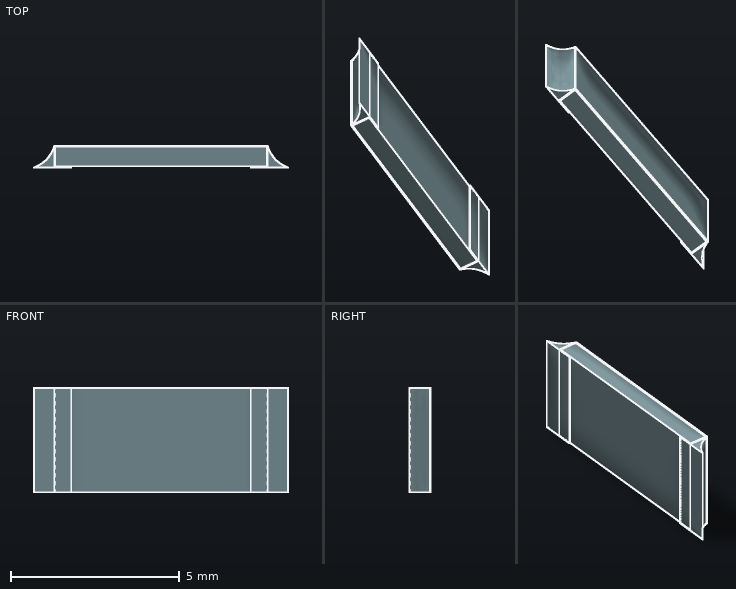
import cadquery as cq

overall_length = 7.55
overall_thickness = 0.65
width = 3.1

fillet_reach = 0.605
pad_length = 0.5
pad_thickness = 0.034
end_wall = 0.03
coating_thickness = 0.04

fillet_mid_reach = 0.165
fillet_mid_height = 0.31

chip_half = overall_length / 2 - fillet_reach
substrate_half = chip_half - end_wall
mount_y = -overall_thickness / 2
top_y = overall_thickness / 2
substrate_bottom_y = mount_y + pad_thickness
substrate_top_y = top_y - coating_thickness


def extrude_width(outline):
    """Extrude a closed XY outline over the width, centred on Z = 0."""
    return outline.extrude(width).translate((0, 0, -width / 2))


def slab(half_length, bottom_y, slab_top_y):
    """Rectangular slab centred on X = 0 between two Y levels."""
    thickness = slab_top_y - bottom_y
    return cq.Workplane("XY").box(2 * half_length, thickness, width).translate(
        (0, (bottom_y + slab_top_y) / 2, 0)
    )


def make_terminal(side):
    """L-shaped terminal: a wall on the chip end and a pad under the chip."""
    outer_x = side * chip_half
    wall_x = side * substrate_half
    pad_x = side * (chip_half - pad_length)
    outline = cq.Workplane("XY").polyline([
        (outer_x, mount_y),
        (pad_x, mount_y),
        (pad_x, substrate_bottom_y),
        (wall_x, substrate_bottom_y),
        (wall_x, substrate_top_y),
        (outer_x, substrate_top_y),
    ]).close()
    return extrude_width(outline)


def make_solder_fillet(side):
    """Solder wedge with a hollow outer surface, from the toe to the chip top."""
    chip_x = side * chip_half
    toe_x = side * (chip_half + fillet_reach)
    mid_point = (side * (chip_half + fillet_mid_reach), mount_y + fillet_mid_height)
    outline = (
        cq.Workplane("XY")
        .moveTo(chip_x, mount_y)
        .lineTo(toe_x, mount_y)
        .spline([mid_point, (chip_x, top_y)], includeCurrent=True)
        .close()
    )
    return extrude_width(outline)


substrate = slab(substrate_half, substrate_bottom_y, substrate_top_y)
coating = slab(chip_half, substrate_top_y, top_y)

terminals = []
solder_fillets = []
for end_side in (-1, 1):
    terminals.append(make_terminal(end_side).val())
    solder_fillets.append(make_solder_fillet(end_side).val())

result = cq.Compound.makeCompound([
    substrate.val(),
    coating.val(),
    *terminals,
    *solder_fillets,
])